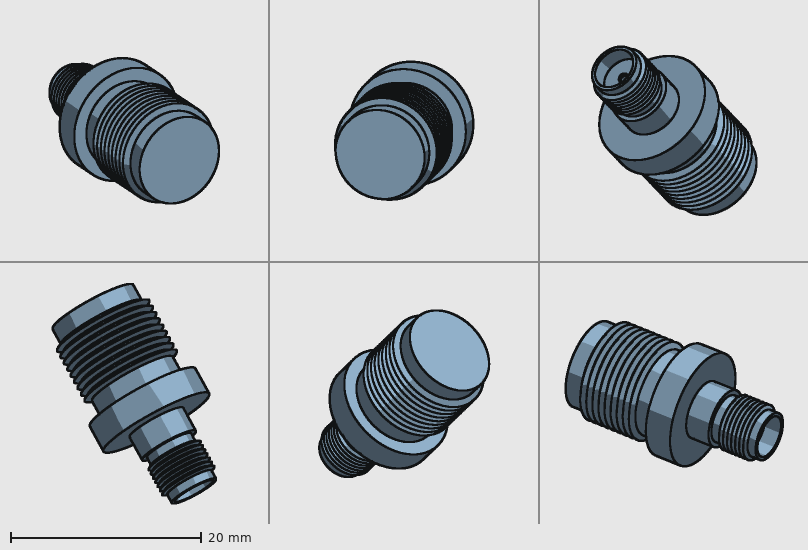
import cadquery as cq

total_length = 22.4

small_barrel_radius = 2.67
small_thread_radius = 3.14
small_thread_start = 1.0
small_thread_length = 3.55
small_thread_count = 7

shoulder_radius = 3.23
shoulder_start = 5.53
flange_diameter = 12.7
flange_radius = flange_diameter / 2
flange_start = 8.33
flange_end = 11.38

large_barrel_radius = 4.85
large_thread_radius = 5.55
large_thread_start = 13.65
large_thread_length = 6.85
large_thread_count = 9

socket_radius = 2.28
socket_depth = 2.0
contact_recess_radius = 0.54
contact_recess_depth = 0.22
contact_hole_radius = 0.4
contact_hole_depth = 1.12


def thread_teeth(start, length, count, root_radius, crest_radius):
    """Points of a row of V-shaped ridges, from the first root to the last."""
    pitch = length / count
    points = [(start, root_radius)]
    for tooth in range(count):
        tooth_start = start + tooth * pitch
        points.append((tooth_start + pitch / 2, crest_radius))
        points.append((tooth_start + pitch, root_radius))
    return points


def cylinder_along_x(start, length, radius):
    return cq.Workplane("YZ").workplane(offset=start).circle(radius).extrude(length)


def adapter_body():
    """Solid of revolution from the half profile of the whole exterior."""
    profile = [(0, 0), (0, small_barrel_radius)]
    profile += thread_teeth(
        small_thread_start, small_thread_length, small_thread_count,
        small_barrel_radius, small_thread_radius,
    )
    profile += [
        (shoulder_start, small_barrel_radius),
        (shoulder_start, shoulder_radius),
        (flange_start, shoulder_radius),
        (flange_start, flange_radius),
        (flange_end, flange_radius),
        (flange_end, large_barrel_radius),
    ]
    profile += thread_teeth(
        large_thread_start, large_thread_length, large_thread_count,
        large_barrel_radius, large_thread_radius,
    )
    profile += [(total_length, large_barrel_radius), (total_length, 0)]
    return cq.Workplane("XY").polyline(profile).close().revolve(360, (0, 0, 0), (1, 0, 0))


def socket_cavity():
    """Socket, contact recess and contact hole, each one opening from the floor of the last."""
    recess_floor = socket_depth + contact_recess_depth
    socket = cylinder_along_x(0, socket_depth, socket_radius)
    recess = cylinder_along_x(socket_depth, contact_recess_depth, contact_recess_radius)
    hole = cylinder_along_x(recess_floor, contact_hole_depth, contact_hole_radius)
    return socket.union(recess).union(hole)


result = adapter_body().cut(socket_cavity())